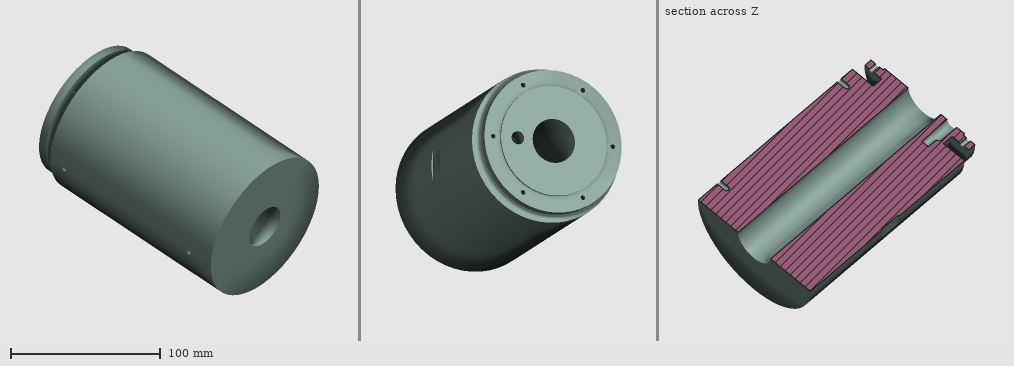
import cadquery as cq
import math

total_length = 162.5
body_diameter = 105.0
flange_diameter = 97.5
spigot_diameter = 75.0
neck_diameter = 66.0
bore_diameter = 30.0
spigot_length = 1.5
flange_thickness = 6.2
neck_length = 7.8
body_length = total_length - spigot_length - flange_thickness - neck_length

bolt_count = 6
bolt_circle_diameter = 85.0
bolt_hole_diameter = 3.2

drill_point_angle = 118

cable_hole_diameter = 9.0
cable_hole_y = 25.5
cable_hole_depth = 15.3
inner_hole_diameter = 5.8
inner_hole_y = 24.4
inner_hole_depth = 24.4

pin_hole_diameter = 3.2
pin_hole_depth = 8.1
pin_hole_spacing = 114.4
first_pin_hole_offset = 12.7

flat_length = 15.1
flat_depth = 1.0
flat_offset = 62.7

flange_start = spigot_length
neck_start = flange_start + flange_thickness
body_start = neck_start + neck_length


def cylinder_along_x(diameter, start, length, y=0.0):
    """Cylinder parallel to the part axis, growing toward +X from start."""
    return cq.Workplane("YZ", origin=(start, y, 0)).circle(diameter / 2).extrude(length)


def turned_body():
    """Stepped shaft: spigot, flange, neck and main body, with the bore through it."""
    spigot = cylinder_along_x(spigot_diameter, 0, spigot_length)
    flange = cylinder_along_x(flange_diameter, flange_start, flange_thickness)
    neck = cylinder_along_x(neck_diameter, neck_start, neck_length)
    body = cylinder_along_x(body_diameter, body_start, body_length)
    bore = cylinder_along_x(bore_diameter, 0, total_length)
    return spigot.union(flange).union(neck).union(body).cut(bore)


def bolt_holes():
    """Ring of holes through the flange."""
    return (
        cq.Workplane("YZ", origin=(flange_start, 0, 0))
        .polarArray(bolt_circle_diameter / 2, 0, 360, bolt_count)
        .circle(bolt_hole_diameter / 2)
        .extrude(flange_thickness)
    )


def drilled_hole(diameter, depth, mouth, direction):
    """Blind hole of full diameter down to depth, then a conical drill point."""
    radius = diameter / 2
    point_length = radius / math.tan(math.radians(drill_point_angle / 2))
    half_profile = [(0, 0), (radius, 0), (radius, depth), (0, depth + point_length)]
    plane = cq.Plane(origin=mouth, xDir=(0, 0, 1), normal=cq.Vector(0, 0, 1).cross(cq.Vector(*direction)))
    return cq.Workplane(plane).polyline(half_profile).close().revolve(360, (0, 0), (0, 1))


def cable_entry():
    """Drilled hole in the front face plus the off-centre, flat-ended inner hole."""
    outer_hole = drilled_hole(cable_hole_diameter, cable_hole_depth, (0, cable_hole_y, 0), (1, 0, 0))
    inner_hole = cylinder_along_x(inner_hole_diameter, 0, inner_hole_depth, inner_hole_y)
    return outer_hole.union(inner_hole)


def pin_holes():
    """Two drilled holes running toward +Y, one near each end of the body."""
    first_x = body_start + first_pin_hole_offset
    holes = cq.Workplane("XY")
    for x in (first_x, first_x + pin_hole_spacing):
        mouth = (x, -body_diameter / 2, 0)
        holes = holes.add(drilled_hole(pin_hole_diameter, pin_hole_depth, mouth, (0, 1, 0)))
    return holes.combine()


def side_flat():
    """Block removed from the +Y side to leave a short flat."""
    start_x = body_start + flat_offset
    flat_y = body_diameter / 2 - flat_depth
    block = cq.Workplane("XY").box(flat_length, flat_depth, body_diameter, centered=(False, False, True))
    return block.translate((start_x, flat_y, 0))


result = turned_body().cut(bolt_holes()).cut(cable_entry()).cut(pin_holes()).cut(side_flat())